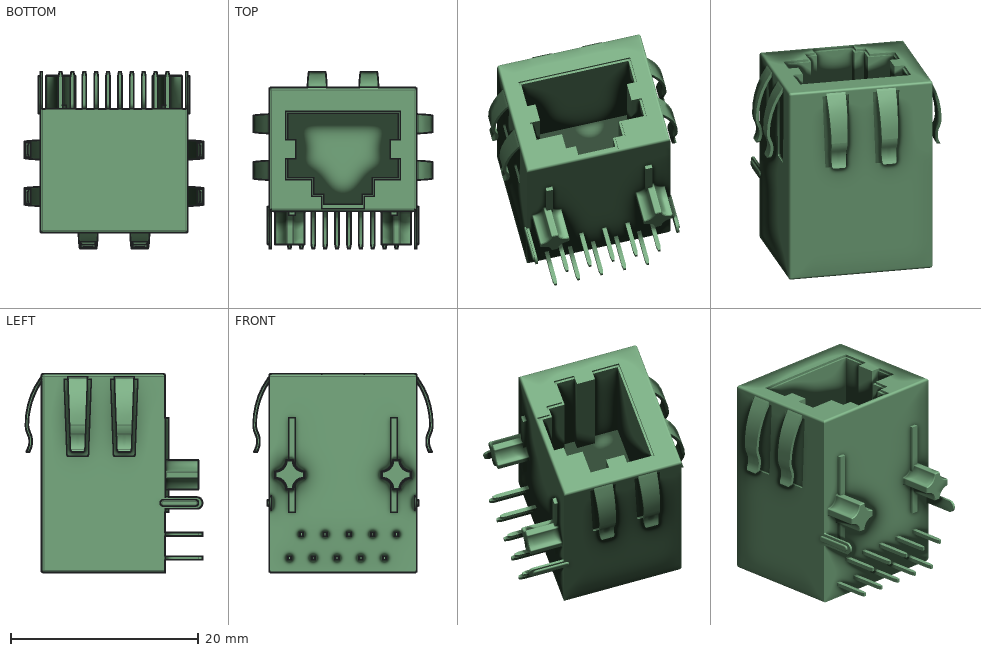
import cadquery as cq
import math

body_width = 15.8
body_depth = 13.24
body_height = 21.25
half_width = body_width / 2
sheet = 0.25

cavity_depth = 12.75
plug_half_width = 5.9
plug_bottom = 3.61
plug_top = 10.45
latch_half_width = 3.12
latch_bottom = 1.85
slot_half_width = 2.05
slot_bottom = 0.76
shell_gap = 0.23
shell_slot_bottom = 0.28
key_half_gap = 5.04
key_bottom = 5.63
key_top = 7.65

spring_thickness = 0.32
spring_root_height = 20.65
spring_root_angle = 35.0
spring_curl_angle = 26.0
spring_lead_in = 0.32
spring_bow_radius = 8.5
spring_curl_radius = 2.02
spring_tail = 0.32
spring_root_width = 2.12
spring_end_width = 1.53
spring_end_height = 12.85
spring_end_radius = 0.32
spring_max_reach = 2.55
window_top = 20.63
window_bottom = 12.4
window_top_width = 2.91
window_bottom_width = 2.3
window_radius = 0.21
side_spring_places = (4.38, 9.35)
back_spring_places = (-2.76, 2.76)

post_x = 5.7
post_z = 10.45
post_reach = 1.6
post_scoop_radius = 1.21
post_length = 3.6
post_edge_radius = 0.1
post_tip_chamfer = 0.08
post_base_radius = 0.13
post_pad = 3.82
post_pad_depth = 0.42
selection_margin = 0.02

rib_inner_x = 5.1
rib_outer_x = 5.82
rib_bottom = 6.45
rib_top = 16.53
rib_height = 0.4

pin_length = 4.0
tab_z = 7.44
tab_width = 1.28
tab_root_radius = 0.13
tab_root_depth = 0.64
bead_width = 0.68
bead_start = 0.53
bead_end = -3.55
bead_height = 0.2
bead_edge_radius = 0.15

pins_per_row = 5
row_length = 10.15
pin_pitch = row_length / (pins_per_row - 1)
pin_width = 0.45
pin_thickness = 0.4
pin_tip_width = 0.25
pin_tip_length = 0.47
pin_embed = 0.21
row_low_z = 1.55
row_high_z = row_low_z + pin_pitch
row_low_center = -pin_pitch / 4
row_high_center = pin_pitch / 4


def box(x0, x1, y0, y1, z0, z1):
    """Box between two opposite corners."""
    return cq.Workplane("XY").box(x1 - x0, y1 - y0, z1 - z0, centered=False).translate((x0, y0, z0))


def make_shell_block():
    """Block rounded on the bends of the shell; the front's side and bottom edges stay sharp."""
    block = box(-half_width, half_width, 0, body_depth, 0, body_height)
    bends = block.edges(">Z or >Y or (<Z and <X) or (<Z and >X)")
    return bends.fillet(sheet)


def stepped_opening(gap, slot_floor, depth):
    """Plug-shaped pocket cut from the top, enlarged on every side by gap."""
    levels = (
        (plug_half_width, plug_bottom - gap, plug_top + gap),
        (latch_half_width, latch_bottom - gap, plug_top),
        (slot_half_width, slot_floor, plug_top),
    )
    pocket = cq.Workplane("XY")
    for half, low, high in levels:
        reach = half + gap
        pocket = pocket.union(box(-reach, reach, low, high, body_height - depth, body_height))
    outer = plug_half_width + gap
    for x0, x1 in ((-outer, -key_half_gap), (key_half_gap, outer)):
        pocket = pocket.cut(box(x0, x1, key_bottom, key_top, body_height - depth, body_height))
    return pocket



def spring_profile():
    """Side profile of a spring: a strip of constant thickness along tangent arcs."""
    half = spring_thickness / 2

    def offset_point(center, angle, side):
        return (center[0] + side * half * math.cos(angle), center[1] + side * half * math.sin(angle))

    def straight(start, angle, length):
        return (start[0] + length * math.sin(angle), start[1] - length * math.cos(angle))

    def arc_point(start, radius, angle0, angle1):
        bend = math.copysign(radius, angle0 - angle1)
        dx = bend * (math.cos(angle1) - math.cos(angle0))
        dz = bend * (math.sin(angle1) - math.sin(angle0))
        return (start[0] + dx, start[1] + dz)

    root_angle = math.radians(spring_root_angle)
    curl_angle = math.radians(spring_curl_angle)
    arcs = (
        (spring_bow_radius, root_angle, 0),
        (spring_curl_radius, 0, -curl_angle),
        (spring_curl_radius, -curl_angle, curl_angle),
    )

    root = (0, spring_root_height)
    inner_end = straight(root, root_angle, -spring_lead_in)
    stations = [(root, root_angle)]
    for radius, angle0, angle1 in arcs:
        start = stations[-1][0]
        middle_angle = (angle0 + angle1) / 2
        stations.append((arc_point(start, radius, angle0, middle_angle), middle_angle))
        stations.append((arc_point(start, radius, angle0, angle1), angle1))
    tail_end = straight(stations[-1][0], curl_angle, spring_tail)

    outer = [offset_point(center, angle, 1) for center, angle in stations]
    inner = [offset_point(center, angle, -1) for center, angle in reversed(stations)]
    profile = cq.Workplane("XZ").moveTo(*offset_point(inner_end, root_angle, 1)).lineTo(*outer[0])
    for k in range(1, len(outer), 2):
        profile = profile.threePointArc(outer[k], outer[k + 1])
    profile = profile.lineTo(*offset_point(tail_end, curl_angle, 1))
    profile = profile.lineTo(*offset_point(tail_end, curl_angle, -1)).lineTo(*inner[0])
    for k in range(1, len(inner), 2):
        profile = profile.threePointArc(inner[k], inner[k + 1])
    return profile.lineTo(*offset_point(inner_end, root_angle, -1)).close()


def tapered_block(top, top_width, bottom, bottom_width, radius, x0, x1):
    """Block from x0 to x1 that narrows downward and has rounded lower corners."""
    outline = [
        (-top_width / 2, top),
        (top_width / 2, top),
        (bottom_width / 2, bottom),
        (-bottom_width / 2, bottom),
    ]
    block = cq.Workplane("YZ").workplane(offset=x0).polyline(outline).close().extrude(x1 - x0)
    return block.edges("|X and <Z").fillet(radius)


def make_spring():
    """Bowed strip that narrows toward a rounded lower end."""
    strip = spring_profile().extrude(spring_root_width / 2, both=True)
    return strip.intersect(tapered_block(
        body_height, spring_root_width, spring_end_height, spring_end_width,
        spring_end_radius, -spring_max_reach, spring_max_reach,
    ))


def make_window():
    """Cutter for the opening in the shell behind a spring, one sheet deep."""
    return tapered_block(
        window_top, window_top_width, window_bottom, window_bottom_width, window_radius, -sheet, sheet,
    )


def on_walls(feature):
    """Copies of a wall feature at each spring place on both sides and the back."""
    copies = []
    for y in side_spring_places:
        copies.append(feature.translate((half_width, y, 0)))
        copies.append(feature.rotate((0, 0, 0), (0, 0, 1), 180).translate((-half_width, y, 0)))
    for x in back_spring_places:
        copies.append(feature.rotate((0, 0, 0), (0, 0, 1), 90).translate((x, body_depth, 0)))
    return copies


def make_post():
    """Square post along -Y with its four corners scooped away, blended into a pad sunk in the body."""
    post = cq.Workplane("XZ").rect(2 * post_reach, 2 * post_reach).extrude(post_length)
    corners = [(sx * post_reach, sz * post_reach) for sx in (-1, 1) for sz in (-1, 1)]
    post = post.cut(cq.Workplane("XZ").pushPoints(corners).circle(post_scoop_radius).extrude(post_length))
    post = post.edges("|Y").fillet(post_edge_radius)
    post = post.faces("<Y").chamfer(post_tip_chamfer)
    pad = cq.Workplane("XZ").rect(post_pad, post_pad).extrude(-post_pad_depth)
    inside_pad = post_pad / 2 - selection_margin
    around_base = cq.selectors.BoxSelector(
        (-inside_pad, -selection_margin, -inside_pad),
        (inside_pad, selection_margin, inside_pad),
    )
    return post.union(pad).edges(around_base).fillet(post_base_radius)


def make_ground_tab():
    """Right-hand tab, flush with the shell side, with a rounded end and a raised bead."""
    end_center = -pin_length + tab_width / 2
    inside = half_width - sheet
    strip = box(inside, half_width, end_center, tab_root_depth, tab_z - tab_width / 2, tab_z + tab_width / 2)
    tip = cq.Workplane("YZ").workplane(offset=inside).center(end_center, tab_z)
    tip = tip.circle(tab_width / 2).extrude(sheet)
    root_half = tab_width / 2 + tab_root_radius
    root = box(inside, half_width, -tab_root_radius, tab_root_depth, tab_z - root_half, tab_z + root_half)
    for side in (-1, 1):
        scoop = cq.Workplane("YZ").workplane(offset=inside)
        scoop = scoop.center(-tab_root_radius, tab_z + side * root_half)
        root = root.cut(scoop.circle(tab_root_radius).extrude(sheet))
    bead = cq.Workplane("YZ").workplane(offset=inside).center((bead_start + bead_end) / 2, tab_z)
    bead = bead.slot2D(bead_start - bead_end, bead_width).extrude(sheet + bead_height)
    bead = bead.faces(">X").edges().fillet(bead_edge_radius)
    return strip.union(tip).union(root).union(bead)


def make_pin():
    """Flat pin along -Y whose tip narrows in X."""
    taper_start = -pin_length + pin_tip_length
    outline = [
        (-pin_width / 2, pin_embed),
        (-pin_width / 2, taper_start),
        (-pin_tip_width / 2, -pin_length),
        (pin_tip_width / 2, -pin_length),
        (pin_width / 2, taper_start),
        (pin_width / 2, pin_embed),
    ]
    return cq.Workplane("XY").polyline(outline).close().extrude(pin_thickness / 2, both=True)


result = make_shell_block()
result = result.cut(stepped_opening(0, slot_bottom, cavity_depth))
result = result.cut(stepped_opening(shell_gap, shell_slot_bottom, sheet))
for window in on_walls(make_window()):
    result = result.cut(window)
for spring in on_walls(make_spring()):
    result = result.union(spring)

post = make_post()
ground_tab = make_ground_tab()
rib = box(rib_inner_x, rib_outer_x, -rib_height, sheet, rib_bottom, rib_top)
for feature in (post.translate((post_x, 0, post_z)), ground_tab, rib):
    result = result.union(feature).union(feature.mirror("YZ"))

pin = make_pin()
for row_center, row_z in ((row_low_center, row_low_z), (row_high_center, row_high_z)):
    for k in range(pins_per_row):
        pin_x = row_center - row_length / 2 + k * pin_pitch
        result = result.union(pin.translate((pin_x, 0, row_z)))